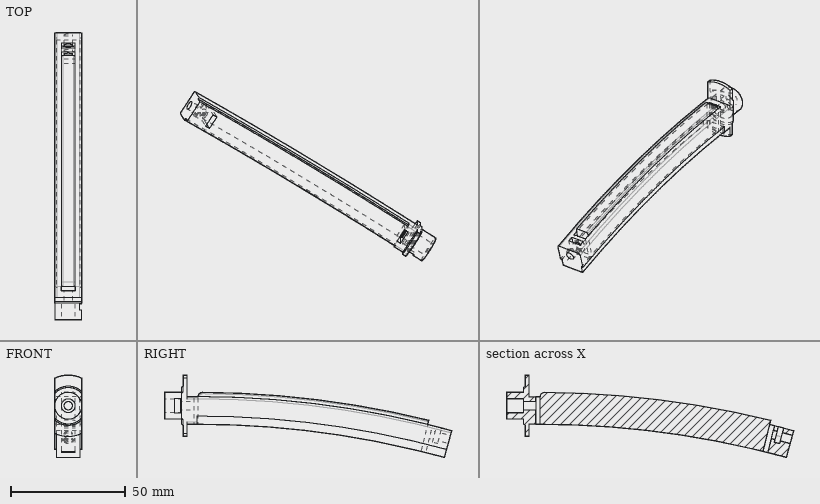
import cadquery as cq
import math


arm_width = 12.0
arm_top = 4.0
arm_bottom = -8.2
edge_radius = 1.0
recess_height = 3.6
recess_depth = 0.82
recess_lead = 0.4
recess_top = arm_bottom + recess_height
waist_width = arm_width - 2 * recess_depth
bend_radius = 417.5
bend_angle = 15.3
top_radius = bend_radius + arm_top

rib_width = 6.0
rib_height = 1.9
rib_edge_radius = 0.6
rib_nose_radius = 2.0
rib_length = 101.7
front_gap_length = 1.8
rear_gap_length = 2.1
land_length = 1.8
pocket_length = 2.4

straight_length = 4.8
flange_diameter = 26.9
flange_thickness = 1.8
shoulder_back_diameter = 17.2
shoulder_front_diameter = 16.0
shoulder_thickness = 0.8
nozzle_diameter = 11.8
nozzle_length = 7.3
nozzle_bore = 6.0
cord_bore = 3.6
notch_length = 2.5
notch_depth = 0.9
notch_setback = 0.4

flange_back = -straight_length
flange_front = flange_back - flange_thickness
shoulder_front = flange_front - shoulder_thickness
nozzle_front = shoulder_front - nozzle_length

clearance = 2.5


def bend_angle_at(length):
    """Bend angle reached after a length along the arm's top face."""
    return math.degrees(length / top_radius)


def bend(profile, start_angle, end_angle):
    """Sweep an XZ profile along the bend between two angles."""
    axis_start = (0, -bend_radius, 0)
    axis_end = (-1, -bend_radius, 0)
    swept = profile.revolve(end_angle - start_angle, axis_start, axis_end)
    return swept.rotate((0, 0, -bend_radius), (-1, 0, -bend_radius), start_angle)


def rectangle(width, bottom, top):
    """Rectangle in the XZ plane at Y = 0, centred on X = 0."""
    return cq.Workplane("XZ").moveTo(0, (bottom + top) / 2).rect(width, top - bottom)


def disc(diameter, front, back):
    """Cylinder on the nozzle axis from one Y to a larger Y."""
    return cq.Workplane("XZ", origin=(0, back, 0)).circle(diameter / 2).extrude(back - front)


def make_straight_arm():
    block = rectangle(arm_width, arm_bottom, arm_top).extrude(straight_length)
    block = block.edges("|Y").fillet(edge_radius)
    waist = rectangle(waist_width, arm_bottom, recess_top).extrude(recess_lead)
    recess = rectangle(arm_width, arm_bottom, recess_top).extrude(recess_lead)
    return block.cut(recess).union(waist)


def make_bent_arm():
    half_width = arm_width / 2
    lower_half_width = waist_width / 2
    corner = edge_radius * (1 - math.sqrt(0.5))
    profile = (
        cq.Workplane("XZ")
        .moveTo(-lower_half_width, arm_bottom)
        .lineTo(lower_half_width, arm_bottom)
        .lineTo(lower_half_width, recess_top)
        .lineTo(half_width, recess_top)
        .lineTo(half_width, arm_top - edge_radius)
        .threePointArc((half_width - corner, arm_top - corner), (half_width - edge_radius, arm_top))
        .lineTo(edge_radius - half_width, arm_top)
        .threePointArc((corner - half_width, arm_top - corner), (-half_width, arm_top - edge_radius))
        .lineTo(-half_width, recess_top)
        .lineTo(-lower_half_width, recess_top)
        .close()
    )
    return bend(profile, 0, bend_angle)


def make_rib():
    rib = bend(rectangle(rib_width, 0, arm_top + rib_height), 0, bend_angle_at(rib_length))
    rib = rib.faces("<Y").edges(">Z").fillet(rib_nose_radius)
    nose_corners = rib.faces("<X or >X").edges(">Z")
    return nose_corners.fillet(rib_edge_radius)


def make_nozzle():
    flange = disc(flange_diameter, flange_front, flange_back)
    shoulder = (
        cq.Workplane("XZ", origin=(0, flange_front, 0))
        .circle(shoulder_back_diameter / 2)
        .workplane(offset=shoulder_thickness)
        .circle(shoulder_front_diameter / 2)
        .loft()
    )
    slab = rectangle(arm_width, -flange_diameter / 2, flange_diameter / 2).extrude(-shoulder_front)
    nozzle = disc(nozzle_diameter, nozzle_front, shoulder_front)
    notch = (
        cq.Workplane("XY")
        .box(notch_depth, notch_length, nozzle_diameter)
        .translate((
            (nozzle_diameter - notch_depth) / 2,
            shoulder_front - notch_setback - notch_length / 2,
            0,
        ))
    )
    return flange.union(shoulder).intersect(slab).union(nozzle.cut(notch))


def cut_openings(body):
    gap_start = bend_angle_at(rib_length)
    gap_end = bend_angle_at(rib_length + rear_gap_length)
    pocket_start_length = rib_length + rear_gap_length + land_length
    pocket_start = bend_angle_at(pocket_start_length)
    pocket_end = bend_angle_at(pocket_start_length + pocket_length)
    past_tail = bend_angle + bend_angle_at(clearance)
    low = arm_bottom - clearance
    high = arm_top + clearance

    front_gap = rectangle(rib_width, low, high).extrude(front_gap_length)
    rear_gap = bend(rectangle(rib_width, low, high), gap_start, gap_end)

    pocket = bend(rectangle(rib_width, 0, high), pocket_start, pocket_end)
    pocket_floor = bend(cq.Workplane("XZ").circle(rib_width / 2), pocket_start, pocket_end)

    wide_bore = disc(nozzle_bore, nozzle_front, shoulder_front)
    front_bore = disc(cord_bore, nozzle_front, -front_gap_length / 2)
    rear_bore = bend(cq.Workplane("XZ").circle(cord_bore / 2), gap_start, past_tail)

    for cutter in (front_gap, rear_gap, pocket, pocket_floor, wide_bore, front_bore, rear_bore):
        body = body.cut(cutter)
    return body


arm = make_straight_arm().union(make_bent_arm()).union(make_rib())
result = cut_openings(arm.union(make_nozzle()))